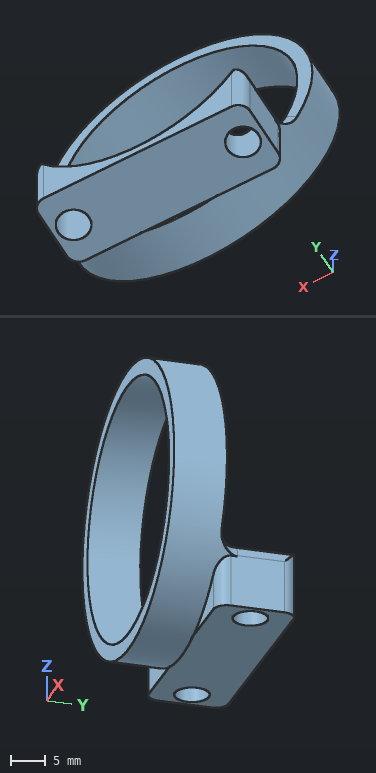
import cadquery as cq

ring_diameter = 44.1
bore_diameter = 39.1
ring_length = 8.0
total_length = 20.0

block_half_width = 17.5
block_bottom = -21.25
block_top = -11.3
edge_radius = 2.0
flare_radius = 3.0

hole_diameter = 5.1
hole_offset = 14.02

block_length = total_length - ring_length
block_width = 2 * block_half_width
block_height = block_top - block_bottom
block_center_y = ring_length + block_length / 2


def cylinder_along_y(diameter, start, length):
    """Solid cylinder about the Y axis, running from start toward +Y."""
    return cq.Workplane("XZ", origin=(0, start, 0)).circle(diameter / 2).extrude(-length)


def block_blank():
    """Box holding the block, with all of its edges sharp."""
    return cq.Workplane("XY", origin=(0, block_center_y, block_bottom)).rect(
        block_width, block_length
    ).extrude(block_height)


def make_block(ring_extension):
    """Block with round upper side edges and round vertical corners that meet in mitres."""
    upper_rounded = block_blank().edges("|Y and >Z").fillet(edge_radius)
    corners_rounded = block_blank().edges("|Z").fillet(edge_radius)
    root = upper_rounded.intersect(ring_extension)
    return upper_rounded.intersect(corners_rounded).union(root)


def make_flare(side):
    """Concave blend from a round upper edge of the block to the ring's back face."""
    flare_end = ring_length + flare_radius
    outer_radius = edge_radius + flare_radius
    arc_inset = flare_radius * 0.5**0.5
    return (
        cq.Workplane("XY")
        .moveTo(0, ring_length)
        .lineTo(outer_radius, ring_length)
        .threePointArc(
            (outer_radius - arc_inset, flare_end - arc_inset),
            (edge_radius, flare_end),
        )
        .lineTo(0, flare_end)
        .close()
        .revolve(360, (0, 0), (0, 1))
        .translate((side * (block_half_width - edge_radius), 0, block_top - edge_radius))
    )


ring = cylinder_along_y(ring_diameter, 0, ring_length)
ring_extension = cylinder_along_y(ring_diameter, ring_length, flare_radius)
bore = cylinder_along_y(bore_diameter, 0, total_length)

body = ring.union(make_block(ring_extension))
for side in (-1, 1):
    body = body.union(make_flare(side).intersect(ring_extension))

holes = (
    cq.Workplane("XY", origin=(0, block_center_y, block_bottom))
    .pushPoints([(-hole_offset, 0), (hole_offset, 0)])
    .circle(hole_diameter / 2)
    .extrude(block_height)
)

result = body.cut(bore).cut(holes)